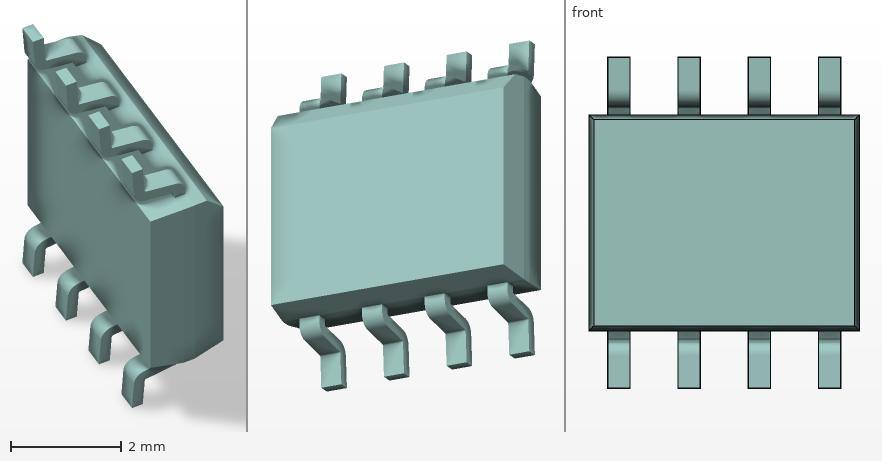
import cadquery as cq
import math

housing_width = 4.9
housing_height = 3.91
front_depth = 0.635
back_depth = 0.65
draft_angle = 8.0
bevel_depth = 0.37
bevel_height = 0.41

lead_count = 4
lead_pitch = 1.27
lead_width = 0.41
lead_thickness = 0.22
lead_span = 6.0
root_length = 0.11
web_length = 0.61
outer_bend_radius = 0.245
web_slope = 8.0
foot_slope = 4.0

inner_bend_radius = outer_bend_radius - lead_thickness
band_half = lead_thickness / 2
housing_half_height = housing_height / 2


def drafted_half(depth, direction):
    """Half of the housing, narrowing away from the band; direction is +1 for +Y, -1 for -Y."""
    normal = (0, direction, 0)
    plane = cq.Plane(origin=(0, direction * band_half, 0), xDir=(1, 0, 0), normal=normal)
    return cq.Workplane(plane).rect(housing_width, housing_height).extrude(depth, taper=draft_angle)


def bevel_cutter():
    """Wedge along X that removes the upper back edge of the housing."""
    back = band_half + back_depth
    draft_inset = (back_depth - bevel_depth) * math.tan(math.radians(draft_angle))
    bevel_start = (back - bevel_depth, housing_half_height - draft_inset)
    bevel_end = (back, housing_half_height - bevel_height)
    return (
        cq.Workplane("YZ")
        .polyline([bevel_start, bevel_end, (back, housing_half_height)])
        .close()
        .extrude(housing_width / 2, both=True)
    )


def make_housing():
    band = cq.Workplane("XY").box(housing_width, lead_thickness, housing_height)
    body = band.union(drafted_half(front_depth, -1)).union(drafted_half(back_depth, 1))
    return body.cut(bevel_cutter())


def on_circle(center, radius, angle):
    """Point (Y, Z) on a circle, with the angle in degrees from +Y toward +Z."""
    turn = math.radians(angle)
    return (center[0] + radius * math.cos(turn), center[1] + radius * math.sin(turn))


def toe_point(foot_start):
    """End, at the level toe cut, of a foot edge that starts at foot_start (Y, Z)."""
    toe_height = lead_span / 2
    rise = toe_height - foot_start[1]
    return (foot_start[0] - rise * math.tan(math.radians(foot_slope)), toe_height)


def make_upper_lead(x):
    """Lead that leaves the top of the band, runs forward to -Y and ends in a rising foot."""
    root_end = housing_half_height + root_length
    first_start = 0
    first_end = 90 - web_slope
    first_middle = (first_start + first_end) / 2
    second_start = 270 - web_slope
    second_end = 180 + foot_slope
    second_middle = (second_start + second_end) / 2

    first_center = (band_half - outer_bend_radius, root_end)
    web_start = on_circle(first_center, outer_bend_radius, first_end)
    web_end = on_circle(web_start, web_length, first_end + 90)
    second_center = on_circle(web_end, inner_bend_radius, first_end)

    upper_foot_start = on_circle(second_center, inner_bend_radius, second_end)
    lower_foot_start = on_circle(second_center, outer_bend_radius, second_end)

    return (
        cq.Workplane("YZ", origin=(x, 0, 0))
        .moveTo(band_half, housing_half_height)
        .lineTo(band_half, root_end)
        .threePointArc(
            on_circle(first_center, outer_bend_radius, first_middle),
            web_start,
        )
        .lineTo(*web_end)
        .threePointArc(on_circle(second_center, inner_bend_radius, second_middle), upper_foot_start)
        .lineTo(*toe_point(upper_foot_start))
        .lineTo(*toe_point(lower_foot_start))
        .lineTo(*lower_foot_start)
        .threePointArc(
            on_circle(second_center, outer_bend_radius, second_middle),
            on_circle(second_center, outer_bend_radius, second_start),
        )
        .lineTo(*on_circle(first_center, inner_bend_radius, first_end))
        .threePointArc(
            on_circle(first_center, inner_bend_radius, first_middle),
            on_circle(first_center, inner_bend_radius, first_start),
        )
        .lineTo(-band_half, housing_half_height)
        .close()
        .extrude(lead_width / 2, both=True)
    )


housing = make_housing()

leads = []
for column in range(lead_count):
    lead_x = (column - (lead_count - 1) / 2) * lead_pitch
    upper_lead = make_upper_lead(lead_x)
    lower_lead = upper_lead.mirror("XY")
    leads += [upper_lead.val(), lower_lead.val()]

result = cq.Compound.makeCompound([housing.val(), *leads])